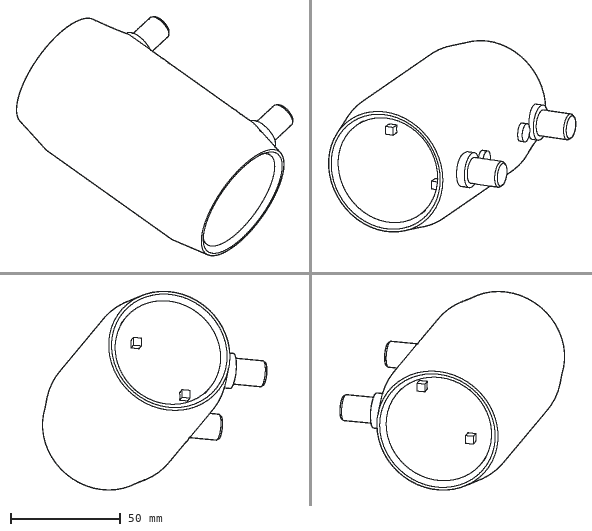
import cadquery as cq

length = 112.0
outer_radius = 32.5
end_radius = 28.75
bore_radius = 25.0
mouth_radius = 27.4
mouth_depth = 2.4
taper_length = 18.7

tab_count = 4
tab_width = 3.75
tab_length = 4.0
tab_tip_radius = 21.25
tab_root_radius = bore_radius + 1.0

pin_offset = 37.5
pin_diameter = 12.0
pin_tip = 50.0
pin_chamfer_width = 0.7
pin_chamfer_length = 1.0
collar_diameter = 16.2
collar_top = 35.25
shoulder_height = 0.5

indicator_offset = 21.5
indicator_diameter = 8.4
indicator_top = 34.75

boss_root = bore_radius + 1.5


def make_sleeve():
    """Tube wall with tapered ends and a chamfer at each mouth of the bore."""
    half = length / 2
    profile = [
        (-half, mouth_radius),
        (-half, end_radius),
        (-half + taper_length, outer_radius),
        (half - taper_length, outer_radius),
        (half, end_radius),
        (half, mouth_radius),
        (half - mouth_depth, bore_radius),
        (-half + mouth_depth, bore_radius),
    ]
    return cq.Workplane("XY").polyline(profile).close().revolve(360, (0, 0, 0), (1, 0, 0))


def make_tabs():
    """Stop tabs rooted in the wall, with tips on a common circle around the X axis."""
    tabs = cq.Workplane("XY")
    for index in range(tab_count):
        tab = cq.Workplane("XY").box(tab_length, tab_width, tab_root_radius, centered=(True, True, False))
        tabs = tabs.union(tab.rotate((0, 0, 0), (1, 0, 0), index * 360 / tab_count))
    clearance = cq.Workplane("YZ").circle(tab_tip_radius).extrude(tab_length, both=True)
    return tabs.cut(clearance)


def make_boss(x, diameter, top):
    """Round boss at x, pointing along +Y from inside the wall to y = top."""
    plane = cq.Workplane("XZ", origin=(x, top, 0))
    return plane.circle(diameter / 2).extrude(top - boss_root)


def make_terminal(x):
    """Turned terminal about an axis along Y: collar, sloping shoulder, pin and chamfered tip."""
    pin_radius = pin_diameter / 2
    collar_radius = collar_diameter / 2
    profile = [
        (0, boss_root),
        (collar_radius, boss_root),
        (collar_radius, collar_top - shoulder_height),
        (pin_radius, collar_top),
        (pin_radius, pin_tip - pin_chamfer_length),
        (pin_radius - pin_chamfer_width, pin_tip),
        (0, pin_tip),
    ]
    terminal = cq.Workplane("XY").polyline(profile).close().revolve(360, (0, 0, 0), (0, 1, 0))
    return terminal.translate((x, 0, 0))


result = make_sleeve().union(make_tabs())
for side in (-1, 1):
    result = result.union(make_terminal(side * pin_offset))
    result = result.union(make_boss(side * indicator_offset, indicator_diameter, indicator_top))